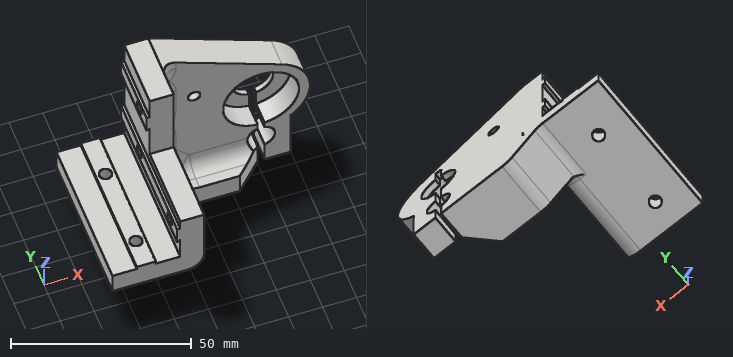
import cadquery as cq
import math


LENGTH_X = 71.4
DEPTH_Y = 46.0
HEIGHT_Z = 57.7

thickness = 7.1
shelf_length = 19.9
corner_radius = 5.0
step_z = 15.9
step_depth = 20.9
foot_z = -17.85
top_z = HEIGHT_Z + foot_z

pad_width = 5.65
pad_height = 0.9
screw_diameter = 3.6
screw_spacing_y = 24.9
wall_screw_depth = 14.9
shelf_screw_depth = 12.5
shelf_screw_x = -shelf_length / 2
lower_screw_z = shelf_length / 2
upper_screw_z = 3 * lower_screw_z

plate_depth = 9.0
clamp_radius = 14.4
clamp_x = LENGTH_X - shelf_length - clamp_radius
clamp_z = 10.0
leg_x = 45.85
bore_radius = 6.0
counterbore_radius = 11.15
lip_depth = 2.0
slit_width = 2.0
relief_radius = 4.1
relief_z = -7.1
pin_diameter = 3.6
pin_x = 17.35
pin_z = 19.9

rib_depth = 17.15
rib_thickness = 6.9
rib_diagonal_reach = 5.6
rib_corner_radius = 5.0
rib_underside_radius = 4.0
root_fillet = 2.0

pocket_radius = 4.9
pocket_corner_radius = 5.0
pocket_diagonal_reach = 6.9

scallop_radius = 3.0
scallop_half_height = 5.0
scallop_cutter_reach = pocket_radius + 0.7


def extrude_y(outline, start, end):
    """Extrude a closed XZ outline from one depth to a larger one."""
    return outline.extrude(end - start).translate((0, -start, 0))


def rod_y(radius, x, z, start, end):
    """Round bar parallel to Y."""
    return extrude_y(cq.Workplane("XZ").center(x, z).circle(radius), start, end)


def box(x0, x1, start, end, z0, z1):
    """Box given by its limits in X, depth and Z."""
    block = cq.Workplane("XY").box(x1 - x0, end - start, z1 - z0, centered=False)
    return block.translate((x0, -end, z0))


def make_bracket():
    """Stepped L of shelf and wall, with its three locating pads."""
    shelf = box(-shelf_length, thickness, 0, DEPTH_Y, -thickness, 0)
    low_wall = box(0, thickness, 0, DEPTH_Y, -thickness, step_z)
    high_wall = box(0, thickness, 0, step_depth, -thickness, top_z)
    bracket = shelf.union(low_wall).union(high_wall).clean()
    outer_corner = cq.selectors.NearestToPointSelector((thickness, -DEPTH_Y / 2, -thickness))
    bracket = bracket.edges("|Y").edges(outer_corner).fillet(corner_radius)

    half = pad_width / 2
    for z, depth in ((lower_screw_z, DEPTH_Y), (upper_screw_z, step_depth)):
        bracket = bracket.union(box(-pad_height, 0, 0, depth, z - half, z + half))
    return bracket.union(box(shelf_screw_x - half, shelf_screw_x + half, 0, DEPTH_Y, 0, pad_height))


def make_support_prism(start, end):
    """Full side outline of the clamp plate and rib, as a prism along Y."""
    to_corner_x = thickness - clamp_x
    to_corner_z = top_z - clamp_z
    corner_distance = math.hypot(to_corner_x, to_corner_z)
    tangent_angle = math.atan2(to_corner_z, to_corner_x) - math.acos(clamp_radius / corner_distance)
    tangent = (
        clamp_x + clamp_radius * math.cos(tangent_angle),
        clamp_z + clamp_radius * math.sin(tangent_angle),
    )
    leg_top_z = clamp_z - math.sqrt(clamp_radius**2 - (leg_x - clamp_x) ** 2)
    diagonal_top = (thickness - rib_diagonal_reach, -thickness)
    diagonal_bottom = (diagonal_top[0] - thickness - foot_z, foot_z)

    outline = (
        cq.Workplane("XZ")
        .moveTo(thickness, top_z)
        .lineTo(*tangent)
        .threePointArc((clamp_x + clamp_radius, clamp_z), (leg_x, leg_top_z))
        .lineTo(leg_x, foot_z)
        .lineTo(*diagonal_bottom)
        .lineTo(*diagonal_top)
        .lineTo(-thickness, -thickness)
        .lineTo(-thickness, -thickness / 2)
        .lineTo(thickness, -thickness / 2)
        .close()
    )
    prism = extrude_y(outline, start, end)
    middle_y = -(start + end) / 2
    rounded_corners = ((diagonal_bottom, rib_corner_radius), (diagonal_top, rib_underside_radius))
    for (x, z), radius in rounded_corners:
        corner = cq.selectors.NearestToPointSelector((x, middle_y, z))
        prism = prism.edges("|Y").edges(corner).fillet(radius)
    return prism


def make_root_fillet():
    """Concave fillet between the rib front and the outside of the bracket corner."""
    axis_x = thickness - corner_radius
    axis_z = corner_radius - thickness
    fillet_end = rib_depth + root_fillet
    outer_radius = corner_radius + root_fillet

    disc = rod_y(outer_radius, axis_x, axis_z, rib_depth, fillet_end)
    hollow = cq.Workplane("XY").add(
        cq.Solid.makeTorus(
            outer_radius, root_fillet, cq.Vector(axis_x, -fillet_end, axis_z), cq.Vector(0, 1, 0)
        )
    )
    underside = box(-thickness, axis_x, rib_depth, fillet_end, axis_z - outer_radius, -thickness)
    groove = (
        cq.Workplane("YZ")
        .center(-fillet_end, axis_z - outer_radius)
        .circle(root_fillet)
        .extrude(2 * thickness)
        .translate((axis_x - 2 * thickness, 0, 0))
    )
    quarter = disc.cut(hollow).intersect(
        box(axis_x, axis_x + outer_radius, rib_depth, fillet_end, axis_z - outer_radius, axis_z)
    )
    ring = quarter.union(underside.cut(groove))
    return ring.intersect(make_support_prism(rib_depth, fillet_end))


def make_pocket():
    """Pocket in front of the plate, rounded at its floor along the wall and the rib."""
    rib_top_z = foot_z + rib_thickness
    bend_top = (thickness, rib_top_z + pocket_diagonal_reach)
    bend_low = (thickness + pocket_diagonal_reach, rib_top_z)
    outline = (
        cq.Workplane("XZ")
        .polyline([(thickness, HEIGHT_Z), bend_top, bend_low, (LENGTH_X, rib_top_z), (LENGTH_X, HEIGHT_Z)])
        .close()
    )
    pocket = extrude_y(outline, plate_depth, DEPTH_Y)
    middle_y = -(plate_depth + DEPTH_Y) / 2
    for x, z in (bend_top, bend_low):
        corner = cq.selectors.NearestToPointSelector((x, middle_y, z))
        pocket = pocket.edges("|Y").edges(corner).fillet(pocket_corner_radius)
    wall_floor_edge = cq.selectors.NearestToPointSelector((thickness, -plate_depth, top_z / 2))
    return pocket.faces(">Y").edges(wall_floor_edge).fillet(pocket_radius)


def make_rib_end_cut():
    """45 degree wedge that tapers the rib down to the plate at the clamp slit."""
    end_x = clamp_x - slit_width / 2
    reach = DEPTH_Y - plate_depth
    return (
        cq.Workplane("XY", origin=(0, 0, foot_z))
        .polyline(
            [
                (end_x, -plate_depth),
                (end_x - reach, -DEPTH_Y),
                (LENGTH_X, -DEPTH_Y),
                (LENGTH_X, -plate_depth),
            ]
        )
        .close()
        .extrude(HEIGHT_Z)
    )


def make_scallop(screw_z):
    """Cutter that narrows the wall fillet parabolically towards one wall screw."""

    def section(offset):
        share = 1 - abs(offset) / scallop_half_height
        radius = pocket_radius - (pocket_radius - scallop_radius) * share**2
        bend = radius * (1 - math.sqrt(0.5))
        far_x = thickness + scallop_cutter_reach
        far_y = -plate_depth - scallop_cutter_reach
        return (
            cq.Workplane("XY", origin=(0, 0, screw_z + offset))
            .moveTo(thickness, far_y)
            .lineTo(thickness, -plate_depth - radius)
            .threePointArc(
                (thickness + bend, -plate_depth - bend), (thickness + radius, -plate_depth)
            )
            .lineTo(far_x, -plate_depth)
            .lineTo(far_x, far_y)
            .close()
            .val()
        )

    def half(end):
        return cq.Workplane("XY").add(cq.Solid.makeLoft([section(0), section(end / 2), section(end)]))

    return half(-scallop_half_height).union(half(scallop_half_height))


def cut_clamp(body):
    """Stepped bore, slit, relief hole and pin hole through the plate."""
    body = body.cut(rod_y(bore_radius, clamp_x, clamp_z, 0, plate_depth))
    body = body.cut(rod_y(counterbore_radius, clamp_x, clamp_z, lip_depth, plate_depth))
    body = body.cut(rod_y(relief_radius, clamp_x, relief_z, 0, DEPTH_Y))
    body = body.cut(rod_y(pin_diameter / 2, pin_x, pin_z, 0, plate_depth))
    slit_left = clamp_x - slit_width / 2
    slit_top = clamp_z + math.sqrt(counterbore_radius**2 - (slit_width / 2) ** 2)
    return body.cut(box(slit_left, slit_left + slit_width, 0, plate_depth, foot_z, slit_top))


def cut_screw_holes(body):
    """Three holes through the wall and two through the shelf."""
    near_y = -wall_screw_depth
    far_y = near_y - screw_spacing_y
    wall_places = [(near_y, upper_screw_z), (near_y, lower_screw_z), (far_y, lower_screw_z)]
    wall_holes = (
        cq.Workplane("YZ", origin=(-pad_height, 0, 0))
        .pushPoints(wall_places)
        .circle(screw_diameter / 2)
        .extrude(pad_height + thickness)
    )
    shelf_places = [
        (shelf_screw_x, -shelf_screw_depth),
        (shelf_screw_x, -shelf_screw_depth - screw_spacing_y),
    ]
    shelf_holes = (
        cq.Workplane("XY", origin=(0, 0, -thickness))
        .pushPoints(shelf_places)
        .circle(screw_diameter / 2)
        .extrude(thickness + pad_height)
    )
    return body.cut(wall_holes).cut(shelf_holes)


support = make_support_prism(0, rib_depth).union(make_root_fillet())
support = support.cut(make_pocket()).cut(make_rib_end_cut())

body = make_bracket().union(support)
for screw_z in (lower_screw_z, upper_screw_z):
    body = body.cut(make_scallop(screw_z))
result = cut_screw_holes(cut_clamp(body))